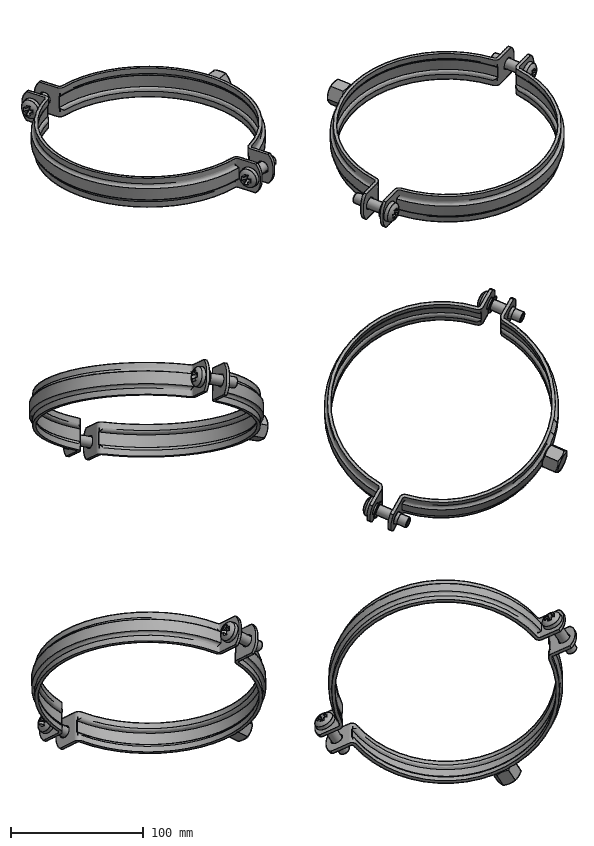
import cadquery as cq
import math

total_length = 214.0
total_depth = 190.2
strip_width = 25.0
strip_thickness = 2.5
half_width = strip_width / 2

bead_outer_radius = 88.4
bead_height = 2.4
bead_crest_half_width = 5.0
bead_foot_half_width = 7.7
bead_end_wall = 0.6
strip_outer_radius = bead_outer_radius - bead_height
strip_inner_radius = strip_outer_radius - strip_thickness

half_gap = 7.5
ear_outer_y = half_gap + strip_thickness
bend_inner_radius = 1.7
bend_outer_radius = bend_inner_radius + strip_thickness
ear_tip_flat_half_width = 2.1
ear_corner_radius = 15.0

ear_hole_diameter = 9.8
screw_x = 97.8
screw_diameter = 8.5
screw_end_y = 20.3
screw_end_chamfer = 0.6
washer_diameter = 14.0
washer_thickness = 0.6
washer_y = -5.5
collar_base_diameter = 10.3
collar_top_diameter = 9.0
collar_height = 2.5
head_diameter = 16.0
head_rim_radius = 7.7
head_rim_height = 3.0
head_crown_radius = 2.5
head_height = 5.8

recess_span = 8.8
recess_arm_width = 3.2
recess_floor_span = 2.8
recess_depth = 4.5

nut_across_flats = 17.5
nut_end_y = total_depth - bead_outer_radius
nut_seat_depth = 0.5
nut_base_y = bead_outer_radius - nut_seat_depth
nut_corner_radius = nut_across_flats / 2 / math.cos(math.pi / 6)
nut_seat_radius = 7.0
nut_end_face_radius = 7.7
nut_bevel_slope = math.tan(math.pi / 6)


def make_bead_ring(crest_radius):
    """Ring whose sides flare into the strip through arcs tangent to the strip face."""
    foot_radius = crest_radius - bead_height
    inner_radius = foot_radius - strip_thickness / 2
    flare_width = bead_foot_half_width - bead_crest_half_width
    flare_radius = (flare_width**2 + bead_height**2) / (2 * bead_height)
    half_angle = math.asin(flare_width / flare_radius) / 2
    mid_radius = foot_radius + flare_radius * (1 - math.cos(half_angle))
    mid_half_width = bead_foot_half_width - flare_radius * math.sin(half_angle)
    return (
        cq.Workplane("XZ")
        .moveTo(inner_radius, -bead_foot_half_width)
        .lineTo(foot_radius, -bead_foot_half_width)
        .threePointArc((mid_radius, -mid_half_width), (crest_radius, -bead_crest_half_width))
        .lineTo(crest_radius, bead_crest_half_width)
        .threePointArc((mid_radius, mid_half_width), (foot_radius, bead_foot_half_width))
        .lineTo(inner_radius, bead_foot_half_width)
        .close()
        .revolve(360, (0, 0), (0, 1))
    )


def region_beyond(y):
    """Large block covering everything on the +Y side of the given y."""
    size = 2 * total_length
    return cq.Workplane("XY").box(size, size, size).translate((0, y + size / 2, 0))


def cone_along_y(base_diameter, top_diameter, start_y, length):
    return cq.Workplane(
        cq.Solid.makeCone(
            base_diameter / 2, top_diameter / 2, length, cq.Vector(0, start_y, 0), cq.Vector(0, 1, 0)
        )
    )


def cylinder_along_y(diameter, start_y, length):
    return cq.Workplane(
        cq.Solid.makeCylinder(diameter / 2, length, cq.Vector(0, start_y, 0), cq.Vector(0, 1, 0))
    )


def make_ear_blank():
    """Ear on the +X side, its outer corners rounded off to a short flat tip."""
    tip_x = total_length / 2
    root_x = strip_inner_radius - bend_inner_radius
    corner_sweep = math.asin((half_width - ear_tip_flat_half_width) / ear_corner_radius)
    arc_centre_x = tip_x - ear_corner_radius
    corner_x = arc_centre_x + ear_corner_radius * math.cos(corner_sweep)
    mid_x = arc_centre_x + ear_corner_radius * math.cos(corner_sweep / 2)
    mid_z = ear_tip_flat_half_width + ear_corner_radius * math.sin(corner_sweep / 2)
    return (
        cq.Workplane("XZ", origin=(0, ear_outer_y, 0))
        .moveTo(root_x, -half_width)
        .lineTo(corner_x, -half_width)
        .threePointArc((mid_x, -mid_z), (tip_x, -ear_tip_flat_half_width))
        .lineTo(tip_x, ear_tip_flat_half_width)
        .threePointArc((mid_x, mid_z), (corner_x, half_width))
        .lineTo(root_x, half_width)
        .close()
        .extrude(strip_thickness)
    )


def vertical_edges_at(x, y):
    """Selector for the upright edges within a small reach of a plan position."""
    reach = 0.5
    return cq.selectors.BoxSelector(
        (x - reach, y - reach, -strip_width), (x + reach, y + reach, strip_width)
    )


def make_half_ring():
    """Half clamp on the +Y side."""
    outer_disc = cq.Workplane("XY").circle(strip_outer_radius).extrude(half_width, both=True)
    inner_disc = cq.Workplane("XY").circle(strip_inner_radius).extrude(half_width, both=True)
    half = outer_disc.intersect(region_beyond(half_gap))
    ear = make_ear_blank()
    half = half.union(ear).union(ear.mirror("YZ")).cut(inner_disc)

    for side in (-1, 1):
        hole = cylinder_along_y(ear_hole_diameter, half_gap, strip_thickness)
        half = half.cut(hole.translate((side * screw_x, 0, 0)))

    convex_x = math.sqrt(strip_inner_radius**2 - half_gap**2)
    concave_x = math.sqrt(strip_outer_radius**2 - ear_outer_y**2)
    for side in (-1, 1):
        half = half.edges(vertical_edges_at(side * convex_x, half_gap)).fillet(bend_outer_radius)
        half = half.edges(vertical_edges_at(side * concave_x, ear_outer_y)).fillet(bend_inner_radius)

    bead_extent = region_beyond(half_gap + bead_end_wall)
    bead = make_bead_ring(bead_outer_radius).intersect(bead_extent)

    groove = make_bead_ring(bead_outer_radius - strip_thickness).intersect(bead_extent)
    return half.union(bead).cut(groove)


def make_recess_arm():
    """One bar of the cross recess along X, narrowing towards its floor."""
    face_y = -ear_outer_y - head_height
    floor_y = face_y + recess_depth
    return (
        cq.Workplane("XY")
        .polyline([
            (-recess_span / 2, face_y),
            (recess_span / 2, face_y),
            (recess_floor_span / 2, floor_y),
            (-recess_floor_span / 2, floor_y),
        ])
        .close()
        .extrude(recess_arm_width / 2, both=True)
    )


def make_screw():
    """Pan head screw along Y with its washer and the collar on the rear ear."""
    shank = cylinder_along_y(screw_diameter, -ear_outer_y, screw_end_y + ear_outer_y)
    shank = shank.faces(">Y").chamfer(screw_end_chamfer)
    washer = cylinder_along_y(washer_diameter, washer_y, washer_thickness)
    collar = cone_along_y(collar_base_diameter, collar_top_diameter, ear_outer_y, collar_height)

    head = (
        cq.Workplane("XY", origin=(0, -ear_outer_y, 0))
        .moveTo(head_diameter / 2, 0)
        .lineTo(0, 0)
        .lineTo(0, -head_height)
        .lineTo(head_crown_radius, -head_height)
        .tangentArcPoint((head_rim_radius, -head_rim_height), relative=False)
        .close()
        .revolve(360, (0, 0), (0, 1))
    )
    arm = make_recess_arm()
    head = head.cut(arm).cut(arm.rotate((0, 0, 0), (0, 1, 0), 90))
    return shank.union(washer).union(collar).union(head)


def make_nut():
    """Hexagon nut along Y, both ends bevelled at 30 degrees."""
    hexagon = (
        cq.Workplane("XZ", origin=(0, nut_end_y, 0))
        .polygon(6, 2 * nut_corner_radius)
        .extrude(nut_end_y - nut_base_y)
    )
    base_bevel = (nut_corner_radius - nut_seat_radius) * nut_bevel_slope
    end_bevel = (nut_corner_radius - nut_end_face_radius) * nut_bevel_slope
    bevel_envelope = (
        cq.Workplane("XY")
        .polyline([
            (0, nut_base_y),
            (nut_seat_radius, nut_base_y),
            (nut_corner_radius, nut_base_y + base_bevel),
            (nut_corner_radius, nut_end_y - end_bevel),
            (nut_end_face_radius, nut_end_y),
            (0, nut_end_y),
        ])
        .close()
        .revolve(360, (0, 0), (0, 1))
    )
    return hexagon.intersect(bevel_envelope)


rear_half = make_half_ring()
result = rear_half.union(rear_half.mirror("XZ")).union(make_nut())
for side in (-1, 1):
    result = result.union(make_screw().translate((side * screw_x, 0, 0)))